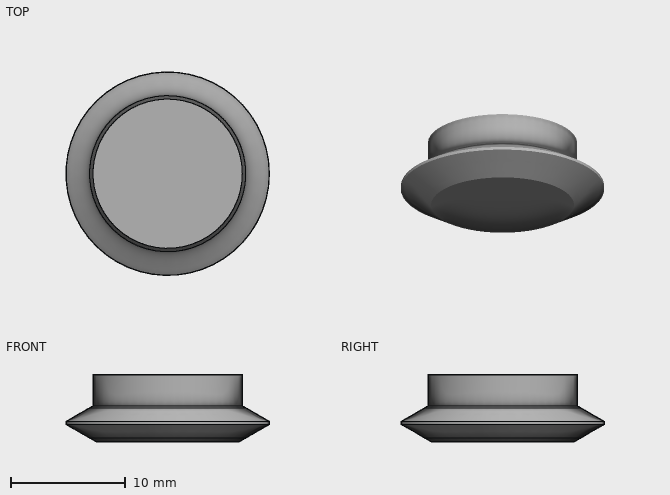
import cadquery as cq
import math

overall_height = 5.85
stem_radius = 12.98 / 2
joint_radius = 13.58 / 2
rim_radius = 17.7 / 2
rim_bottom_z = 1.52
rim_height = 0.25
flank_slope = math.tan(math.radians(30))

rim_top_z = rim_bottom_z + rim_height


def lower_flank_z(radius):
    """Height of the lower conical flank at a given radius."""
    return rim_bottom_z - (rim_radius - radius) * flank_slope


def upper_flank_z(radius):
    """Height of the upper conical flank at a given radius."""
    return rim_top_z + (rim_radius - radius) * flank_slope


def make_core():
    """Solid stem and hub, with the hub edges continuing the ring's flanks."""
    base_radius = rim_radius - rim_bottom_z / flank_slope
    profile = [
        (0, 0),
        (base_radius, 0),
        (joint_radius, lower_flank_z(joint_radius)),
        (joint_radius, upper_flank_z(joint_radius)),
        (stem_radius, upper_flank_z(stem_radius)),
        (stem_radius, overall_height),
        (0, overall_height),
    ]
    return cq.Workplane("XZ").polyline(profile).close().revolve(360, (0, 0), (0, 1))


def make_ring():
    """Flange ring around the hub, tapering outward to a narrow cylindrical rim."""
    profile = [
        (joint_radius, lower_flank_z(joint_radius)),
        (rim_radius, rim_bottom_z),
        (rim_radius, rim_top_z),
        (joint_radius, upper_flank_z(joint_radius)),
    ]
    return cq.Workplane("XZ").polyline(profile).close().revolve(360, (0, 0), (0, 1))


core = make_core()
ring = make_ring()

result = cq.Compound.makeCompound([core.val(), ring.val()])